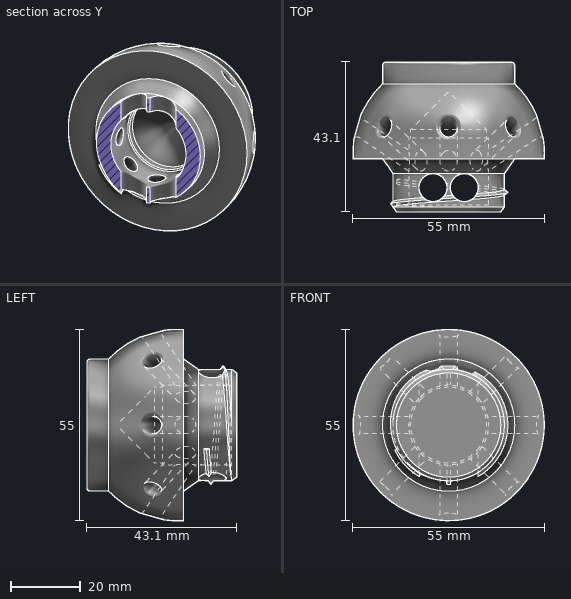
import cadquery as cq
import math


DOME_RADIUS = 27.5
DOME_CENTER_Y = 1.65
COLLAR_RADIUS = 19.0
COLLAR_END_Y = 27.8
COLLAR_FILLET = 1.0
NECK_RADIUS = 16.0
NECK_START_Y = -4.25
NECK_END_Y = -15.25
TIP_RADIUS = 14.95
TIP_CHAMFER_LENGTH = 1.5

CHANNEL_COUNT = 8
CHANNEL_RADIUS = 2.5
CHANNEL_MOUTH_Y = 9.55
CHANNEL_MOUTH_FILLET = 1.0

CROSS_HOLE_RADIUS = 3.99
CROSS_HOLE_SPACING = 8.95
CROSS_HOLE_INNER_FILLET = 0.45
CROSS_HOLE_Y = NECK_START_Y - CROSS_HOLE_RADIUS

CORE_RADIUS = 11.45
CORE_FLOOR_Y = -13.25
CORE_STEP_Y = 6.05
UPPER_CORE_RADIUS = 10.9
CORE_ROOF_Y = 8.4
CORE_ROOF_ANGLE = 45

THREAD_PITCH = 7.0
THREAD_HEIGHT = 1.0
THREAD_HALF_WIDTH = 0.75
THREAD_ROOT_OVERLAP = 0.3
THREAD_START_Y = -14.8
THREAD_START_ANGLE = 90
THREAD_SWEEP_ANGLE = 425

tip_chamfer_start_y = NECK_END_Y + TIP_CHAMFER_LENGTH
dome_end_y = DOME_CENTER_Y + math.sqrt(DOME_RADIUS**2 - COLLAR_RADIUS**2)
dome_rim_radius = math.sqrt(DOME_RADIUS**2 - DOME_CENTER_Y**2)
mouth_radius = math.sqrt(DOME_RADIUS**2 - (CHANNEL_MOUTH_Y - DOME_CENTER_Y) ** 2)


def revolve_about_y(outline):
    """Turn a closed XY outline once about the Y axis."""
    return outline.revolve(360, (0, 0, 0), (0, 1, 0))


def make_body():
    """Neck, joining cone, dome and collar as one turned solid."""
    arc_angle = math.asin((dome_end_y - DOME_CENTER_Y) / DOME_RADIUS) / 2
    dome_mid = (
        DOME_RADIUS * math.cos(arc_angle),
        DOME_CENTER_Y + DOME_RADIUS * math.sin(arc_angle),
    )
    outline = (
        cq.Workplane("XY")
        .moveTo(0, NECK_END_Y)
        .lineTo(TIP_RADIUS, NECK_END_Y)
        .lineTo(NECK_RADIUS, tip_chamfer_start_y)
        .lineTo(NECK_RADIUS, NECK_START_Y)
        .lineTo(COLLAR_RADIUS, 0)
        .lineTo(dome_rim_radius, 0)
        .threePointArc(dome_mid, (COLLAR_RADIUS, dome_end_y))
        .lineTo(COLLAR_RADIUS, COLLAR_END_Y)
        .lineTo(0, COLLAR_END_Y)
        .close()
    )
    return revolve_about_y(outline).faces(">Y").edges().fillet(COLLAR_FILLET)


def make_thread():
    """V-shaped ridge, right-handed about +Y, that runs out over the tip chamfer."""
    root_radius = NECK_RADIUS - THREAD_ROOT_OVERLAP
    root_half_width = THREAD_HALF_WIDTH * (1 + THREAD_ROOT_OVERLAP / THREAD_HEIGHT)
    rise = THREAD_PITCH * THREAD_SWEEP_ANGLE / 360
    path = cq.Workplane(cq.Wire.makeHelix(THREAD_PITCH, rise, root_radius))
    ridge = (
        cq.Workplane("XZ")
        .moveTo(root_radius, -root_half_width)
        .lineTo(NECK_RADIUS + THREAD_HEIGHT, 0)
        .lineTo(root_radius, root_half_width)
        .close()
        .sweep(path, isFrenet=True)
        .rotate((0, 0, 0), (0, 0, 1), THREAD_START_ANGLE)
        .rotate((0, 0, 0), (1, 0, 0), -90)
        .translate((0, THREAD_START_Y, 0))
    )
    chamfer_slope = (NECK_RADIUS - TIP_RADIUS) / TIP_CHAMFER_LENGTH
    trim_radius = NECK_RADIUS + 2 * THREAD_HEIGHT
    trim_cone = revolve_about_y(
        cq.Workplane("XY")
        .moveTo(0, NECK_END_Y)
        .lineTo(TIP_RADIUS, NECK_END_Y)
        .lineTo(trim_radius, NECK_END_Y + (trim_radius - TIP_RADIUS) / chamfer_slope)
        .lineTo(trim_radius, NECK_START_Y)
        .lineTo(0, NECK_START_Y)
        .close()
    )
    return ridge.intersect(trim_cone)


def make_core():
    """Closed cavity that the channels and the cross holes open into."""
    roof_height = UPPER_CORE_RADIUS / math.tan(math.radians(CORE_ROOF_ANGLE))
    return revolve_about_y(
        cq.Workplane("XY")
        .moveTo(0, CORE_FLOOR_Y)
        .lineTo(CORE_RADIUS, CORE_FLOOR_Y)
        .lineTo(CORE_RADIUS, CORE_STEP_Y)
        .lineTo(UPPER_CORE_RADIUS, CORE_STEP_Y)
        .lineTo(UPPER_CORE_RADIUS, CORE_ROOF_Y)
        .lineTo(0, CORE_ROOF_Y + roof_height)
        .close()
    )


def make_channels():
    """Slanted bores that all start on the axis at the cross holes and leave the dome."""
    start = cq.Vector(0, CROSS_HOLE_Y, 0)
    mouth = cq.Vector(mouth_radius, CHANNEL_MOUTH_Y, 0)
    run = mouth - start
    length = run.Length + 4 * CHANNEL_RADIUS
    bore = cq.Workplane(cq.Solid.makeCylinder(CHANNEL_RADIUS, length, start, run))
    return [
        bore.rotate((0, 0, 0), (0, 1, 0), i * 360 / CHANNEL_COUNT) for i in range(CHANNEL_COUNT)
    ]


def make_cross_holes():
    """Pair of holes side by side that run straight through the neck."""
    return (
        cq.Workplane("XY", origin=(0, CROSS_HOLE_Y, -DOME_RADIUS))
        .rarray(CROSS_HOLE_SPACING, 0.55, 2, 1)
        .circle(CROSS_HOLE_RADIUS)
        .extrude(2 * DOME_RADIUS)
    )


def fillet_hole_rims(body, rim_y, rim_distance, hole_radius, fillet):
    """Round the hole rims that lie around rim_y at rim_distance from the Y axis."""
    rims = []
    for edge in body.edges().vals():
        start = edge.startPoint()
        is_curve = edge.geomType() not in ("LINE", "CIRCLE")
        near_y = abs(edge.Center().y - rim_y) < hole_radius
        near_distance = abs(math.hypot(start.x, start.z) - rim_distance) < hole_radius
        if is_curve and near_y and near_distance:
            rims.append(edge)
    return body.newObject(rims).fillet(fillet)


body = make_body()
for channel in make_channels():
    body = body.cut(channel)
body = fillet_hole_rims(body, CHANNEL_MOUTH_Y, mouth_radius, CHANNEL_RADIUS, CHANNEL_MOUTH_FILLET)

body = body.union(make_thread()).cut(make_core()).cut(make_cross_holes())
result = fillet_hole_rims(body, CROSS_HOLE_Y, CORE_RADIUS, CROSS_HOLE_RADIUS, CROSS_HOLE_INNER_FILLET)